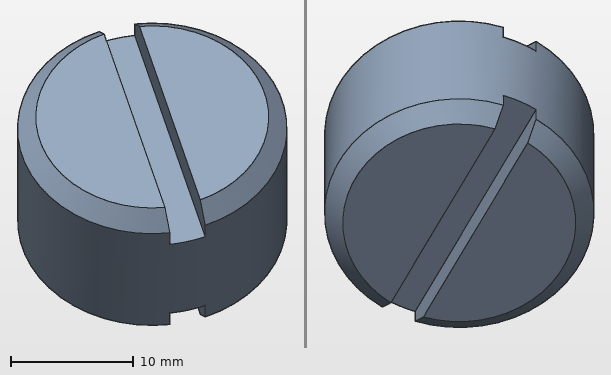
import cadquery as cq

diameter = 22.0
height = 15.0
chamfer_size = 1.5
slot_width = 3.0
slot_depth = 3.0


def chamfered_cylinder():
    """Cylinder centred on the origin, with both rims chamfered."""
    body = cq.Workplane("XY").cylinder(height, diameter / 2)
    return body.faces("|Z").edges().chamfer(chamfer_size)


def screwdriver_slot(end_z):
    """Cutter along X, centred on an end face so that half of it lies in the part."""
    return (
        cq.Workplane("XY")
        .box(diameter, slot_width, 2 * slot_depth)
        .translate((0, 0, end_z))
    )


result = chamfered_cylinder()
for end_z in (-height / 2, height / 2):
    result = result.cut(screwdriver_slot(end_z))